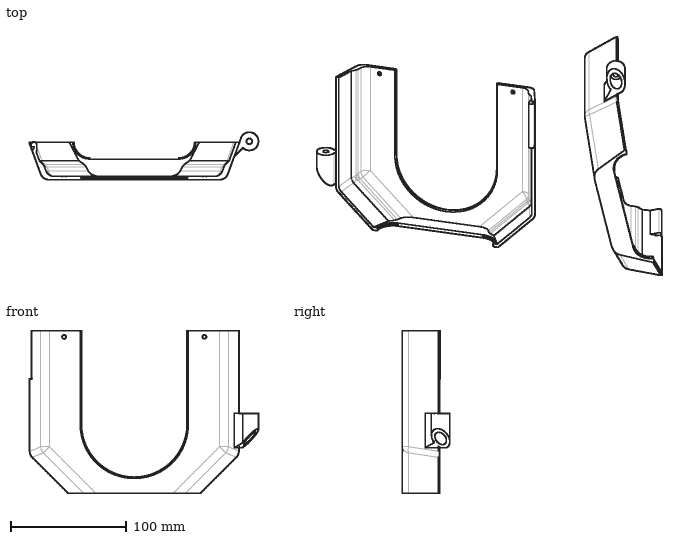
import cadquery as cq
import math

HEIGHT = 141.5
DEPTH = 32.8
HALF_WIDTH = 91.07
DRAFT_ANGLE = 20
CORNER_HEIGHT = 33.7
DRAFT = math.tan(math.radians(DRAFT_ANGLE))
RIM_HEIGHT = 1.2
EDGE_RADIUS = 8.0
INNER_EDGE_RADIUS = 7.5
OVERCUT = 5.0
TOLERANCE = 0.01

PLATE = 3.0
FLOOR = 3.0
THIN_WALL = PLATE / math.cos(math.radians(DRAFT_ANGLE))
STEP_TOP_Y = 16.8
STEP_MID_Y = 13.5
STEP_LOW_Y = 11.4
LEDGE_SLOPE = 1.0
LEAD_SLOPE = math.tan(math.radians(30))

OPENING_RADIUS = 45.8
OPENING_CENTER_Z = 60.0
OPENING_CHAMFER = 1.2

SCREW_DIAMETER = 3.2
SCREW_X = 61.0
SCREW_Z = 136.0

CUTOUT_END_X = 38.7
CUTOUT_Y = 18.1
CUTOUT_CHAMFER = 1.0
CUTOUT_END_RADIUS = DEPTH - CUTOUT_Y - CUTOUT_CHAMFER

KNUCKLE_X = 100.0
KNUCKLE_Y = 33.5
KNUCKLE_RADIUS = 8.0
PIN_DIAMETER = 4.8
BORE_DIAMETER = 10.0
BORE_CAP = 10.0
KNUCKLE_TOP = 69.5
KNUCKLE_BOTTOM = 39.5
ARM_ROOT_Y = 20.0
ARM_EMBED = 1.5

BEAD_BOTTOM = 99.5
BEAD_RADIUS = 2.35
BEAD_X = -87.15
BEAD_TOP_Y = 33.1
BEAD_Y = BEAD_TOP_Y - BEAD_RADIUS
BEAD_ROOT_Y = 23.3
GROOVE_BOTTOM_X = -87.3
GROOVE_TOP_Y = 28.7
GROOVE_MID_Y = 26.9
GROOVE_LOW_Y = 25.7


def outer_inset(y):
    """Distance of the drafted outer wall from the full half width at depth y."""
    return DRAFT * max(DEPTH - RIM_HEIGHT - y, 0)


def outer_x(y):
    return HALF_WIDTH - outer_inset(y)


def section(y, inset, bottom, top):
    """Closed outline at depth y: upright sides, 45 degree lower sides and a flat bottom."""
    half_width = HALF_WIDTH - inset
    corner = CORNER_HEIGHT + inset * (math.sqrt(2) - 1)
    foot = half_width - (corner - bottom)
    points = [(-half_width, top), (-half_width, corner), (-foot, bottom)]
    points += [(-x, z) for x, z in reversed(points)]
    return cq.Wire.makePolygon([cq.Vector(x, y, z) for x, z in points], close=True)


def stack(levels, bottom, top):
    """Solid through (y, inset) levels, with straight sides between neighbours."""
    body = None
    for (y0, inset0), (y1, inset1) in zip(levels, levels[1:]):
        wires = [section(y0, inset0, bottom, top), section(y1, inset1, bottom, top)]
        layer = cq.Workplane(cq.Solid.makeLoft(wires, True))
        body = layer if body is None else body.union(layer)
    return body


def round_sides(body, radius, y_front, bottom, top):
    """Round the front edges of the side walls and the wall corners; the ends at bottom and top stay sharp."""
    def is_rounded(edge):
        box = edge.BoundingBox()
        lies_on_bottom = box.zmax < bottom + TOLERANCE
        lies_on_top = box.zmin > top - TOLERANCE
        on_front = box.ymax < y_front + TOLERANCE
        is_corner = box.ymax - box.ymin > TOLERANCE
        return not lies_on_bottom and not lies_on_top and (on_front or is_corner)

    edges = [edge for edge in body.edges().vals() if is_rounded(edge)]
    return body.newObject(edges).fillet(radius)


def make_outside():
    rim_y = DEPTH - RIM_HEIGHT
    body = stack([(0, outer_inset(0)), (rim_y, 0), (DEPTH, 0)], 0, HEIGHT)
    return round_sides(body, EDGE_RADIUS, 0, 0, HEIGHT)


def make_cavity():
    top = HEIGHT + OVERCUT
    thin_inset = outer_inset(STEP_TOP_Y) + THIN_WALL
    mid_inset = thin_inset + LEDGE_SLOPE * (STEP_TOP_Y - STEP_MID_Y)
    low_inset = mid_inset + LEAD_SLOPE * (STEP_MID_Y - STEP_LOW_Y)
    plate_inset = low_inset + DRAFT * (STEP_LOW_Y - PLATE)
    end_y = DEPTH + OVERCUT
    end_inset = thin_inset - DRAFT * (end_y - STEP_TOP_Y)
    levels = [
        (PLATE, plate_inset),
        (STEP_LOW_Y, low_inset),
        (STEP_MID_Y, mid_inset),
        (STEP_TOP_Y, thin_inset),
        (end_y, end_inset),
    ]
    return round_sides(stack(levels, FLOOR, top), INNER_EDGE_RADIUS, PLATE, FLOOR, top)


def opening_outline(radius, y):
    return (
        cq.Workplane("XZ", origin=(0, y, 0))
        .moveTo(-radius, HEIGHT + OVERCUT)
        .lineTo(-radius, OPENING_CENTER_Z)
        .threePointArc((0, OPENING_CENTER_Z - radius), (radius, OPENING_CENTER_Z))
        .lineTo(radius, HEIGHT + OVERCUT)
        .close()
    )


def make_opening():
    opening = opening_outline(OPENING_RADIUS, PLATE).extrude(PLATE)
    wide = OPENING_RADIUS + OPENING_CHAMFER
    for y_face, y_inner in ((0, OPENING_CHAMFER), (PLATE, PLATE - OPENING_CHAMFER)):
        wires = [opening_outline(wide, y_face).val(), opening_outline(OPENING_RADIUS, y_inner).val()]
        opening = opening.union(cq.Workplane(cq.Solid.makeLoft(wires, True)))
    return opening


def make_screw_holes():
    return (
        cq.Workplane("XZ")
        .pushPoints([(-SCREW_X, SCREW_Z), (SCREW_X, SCREW_Z)])
        .circle(SCREW_DIAMETER / 2)
        .extrude(-PLATE)
    )


def make_floor_cutout():
    cutout = cq.Workplane().box(2 * CUTOUT_END_X, DEPTH - CUTOUT_Y, FLOOR, centered=(True, False, False))
    cutout = cutout.translate((0, CUTOUT_Y, 0))
    wide = CUTOUT_END_RADIUS + CUTOUT_CHAMFER
    up = cq.Vector(0, 0, 1)
    for x in (-CUTOUT_END_X, CUTOUT_END_X):
        low = cq.Vector(x, DEPTH, 0)
        high = cq.Vector(x, DEPTH, FLOOR - CUTOUT_CHAMFER)
        end = cq.Solid.makeCylinder(CUTOUT_END_RADIUS, FLOOR, low, up)
        low_flare = cq.Solid.makeCone(wide, CUTOUT_END_RADIUS, CUTOUT_CHAMFER, low, up)
        high_flare = cq.Solid.makeCone(CUTOUT_END_RADIUS, wide, CUTOUT_CHAMFER, high, up)
        for piece in (end, low_flare, high_flare):
            cutout = cutout.union(cq.Workplane(piece))
    return cutout


def make_hinge():
    length = KNUCKLE_TOP - KNUCKLE_BOTTOM
    base = cq.Workplane("XY", origin=(0, 0, KNUCKLE_BOTTOM))
    tangent_angle = math.radians(180 - DRAFT_ANGLE)
    tangent = (
        KNUCKLE_X + KNUCKLE_RADIUS * math.cos(tangent_angle),
        KNUCKLE_Y + KNUCKLE_RADIUS * math.sin(tangent_angle),
    )
    root = (outer_x(ARM_ROOT_Y), ARM_ROOT_Y)
    rim_y = DEPTH - RIM_HEIGHT
    arm = base.polyline([
        (root[0] - ARM_EMBED, ARM_ROOT_Y),
        root,
        (KNUCKLE_X, KNUCKLE_Y),
        tangent,
        (HALF_WIDTH, rim_y),
        (HALF_WIDTH - ARM_EMBED, rim_y),
    ]).close().extrude(length)
    knuckle = base.center(KNUCKLE_X, KNUCKLE_Y).circle(KNUCKLE_RADIUS).extrude(length)
    pin_hole = base.center(KNUCKLE_X, KNUCKLE_Y).circle(PIN_DIAMETER / 2).extrude(length)
    bore = base.center(KNUCKLE_X, KNUCKLE_Y).circle(BORE_DIAMETER / 2).extrude(length - BORE_CAP)
    normal = cq.Vector(1, -DRAFT, -1)
    plane = cq.Plane(origin=(*root, KNUCKLE_BOTTOM), normal=normal.toTuple())
    below = cq.Workplane(plane).rect(4 * length, 4 * length).extrude(2 * length)
    return arm.union(knuckle).cut(pin_hole).cut(bore).cut(below)


def make_bead_space():
    """Block that clears the left rim outside the groove, where the bead takes its place."""
    far_x = -HALF_WIDTH - OVERCUT
    return (
        cq.Workplane("XY", origin=(0, 0, BEAD_BOTTOM))
        .polyline([
            (far_x, GROOVE_LOW_Y),
            (-outer_x(GROOVE_LOW_Y), GROOVE_LOW_Y),
            (GROOVE_BOTTOM_X, GROOVE_MID_Y),
            (GROOVE_BOTTOM_X, DEPTH),
            (far_x, DEPTH),
        ])
        .close()
        .extrude(HEIGHT - BEAD_BOTTOM)
    )


def make_bead():
    inner_x = BEAD_X + BEAD_RADIUS
    return (
        cq.Workplane("XY", origin=(0, 0, BEAD_BOTTOM))
        .moveTo(inner_x, BEAD_ROOT_Y)
        .lineTo(inner_x, BEAD_Y)
        .threePointArc((BEAD_X, BEAD_TOP_Y), (BEAD_X - BEAD_RADIUS, BEAD_Y))
        .lineTo(BEAD_X - BEAD_RADIUS, GROOVE_TOP_Y)
        .lineTo(GROOVE_BOTTOM_X, GROOVE_TOP_Y)
        .lineTo(GROOVE_BOTTOM_X, BEAD_ROOT_Y)
        .close()
        .extrude(HEIGHT - BEAD_BOTTOM)
    )


shell = make_outside().cut(make_cavity())
shell = shell.cut(make_opening()).cut(make_screw_holes()).cut(make_floor_cutout())
shell = shell.cut(make_bead_space()).union(make_bead())
result = shell.union(make_hinge())